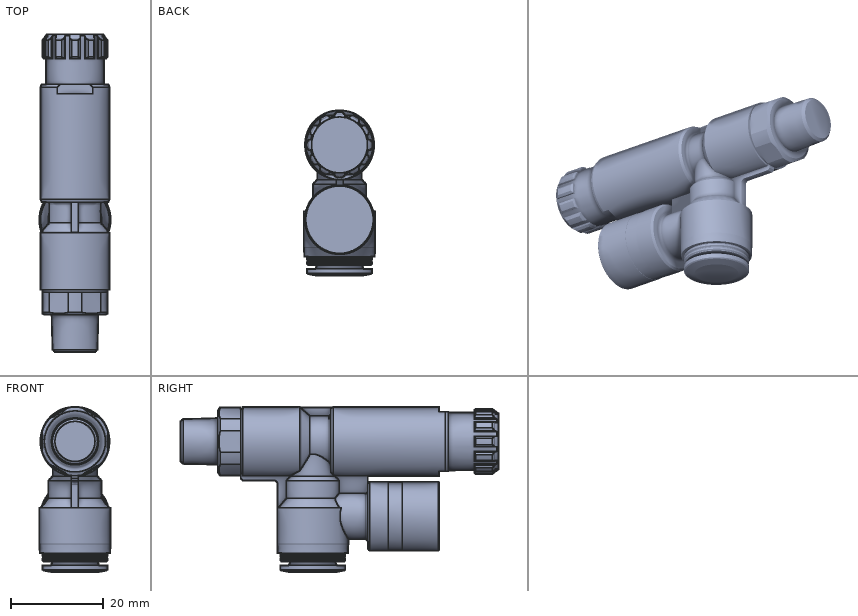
import cadquery as cq
import math

length = 68.9
knob_end = length / 2

neck_radius = 12.6 / 2
barrel_radius = 15.0 / 2
waist_radius = 5.6
shoulder_start = 10.9
shoulder_end = 36.4
barrel_chamfer = 0.6
barrel_chamfer_drop = 0.3
waist_fillet = 0.4
cone_start = 40.85
cone_end = 42.85
front_barrel_start = 43.05
cone_radius = 7.3
front_barrel_end = 55.4

flat_height = 6.5
flat_end = 12.9

knob_length = 5.3
rib_count = 12
rib_radius = 14.1 / 2
rib_base_width = 2.3
rib_top_width = 1.3
rib_side_radius = 6.75
rib_flank_height = 6.6
rib_root = 5.5
rib_end_bevel = 0.35
nose_length = 0.95
knob_face_radius = 6.05

collar_radius = 14.1 / 2
nut_start = 55.9
nut_end = 60.85
nut_across_flats = 14.1
nut_corner_radius = 14.9 / 2
nut_chamfer_length = 0.55
nut_face_radius = 6.6
thread_root_radius = 5.1
thread_tip_radius = 4.9
thread_chamfer = 0.55

silencer_z = -16.2
silencer_radius = barrel_radius
silencer_start = flat_end
silencer_end = 28.3
silencer_edge = 0.2
silencer_front_chamfer = 0.4
silencer_band_start = 20.8
silencer_band_end = 23.85
silencer_band_radius = 14.9 / 2
stub_radius = 5.0
stub_fillet = 0.55

port_station = 40.25
port_radius = 15.5 / 2
port_neck_radius = 9.7 / 2
port_collar_radius = 5.8
port_collar_cone_top = -7.5
port_collar_top = -8.5
port_collar_bottom = -12.3
port_top = -14.3
port_cone_radius = 7.45
port_taper_start = -22.2
port_bottom = -24.2
port_bottom_radius = 7.65

collet_radius = 14.1 / 2
collet_groove_radius = 6.8
collet_neck_radius = 4.9
collet_neck_foot_radius = 5.25
collet_ring_bottom = -26.05
collet_flange_top = -26.9
collet_flange_edge = -27.8
collet_flange_bottom = -28.0
collet_bottom = -28.4
collet_face_radius = 4.75
collet_upper_ring = -24.7
collet_lower_ring = -25.55
collet_ring_half_height = 0.15
collet_ring_bevel = 0.3

web_thickness = 1.5
web_end = 47.9
web_foot_bottom = -8.5
web_foot_chamfer = 0.5
web_corner_fillet = 0.8
web_top = 7.4


def y_at(station):
    """Y coordinate of a station measured from the knob end."""
    return knob_end - station


def turned_along_y(profile, axis_z=0.0):
    """Solid of revolution about a Y-parallel axis from (station, radius) points."""
    first = profile[0][0]
    last = profile[-1][0]
    points = [(0, y_at(first))]
    points += [(radius, y_at(station)) for station, radius in profile]
    points += [(0, y_at(last))]
    solid = cq.Workplane("XY").polyline(points).close().revolve(360, (0, 0), (0, 1))
    return solid.translate((0, 0, axis_z))


def fillet_ring(station, radius, size, axis_z=0.0):
    """Concave fillet around a shaft, where it leaves a face at the given station."""
    y_face = y_at(station)
    centre = (radius + size, y_face - size)
    mid = (centre[0] - size * math.sqrt(0.5), centre[1] + size * math.sqrt(0.5))
    ring = (
        cq.Workplane("XY")
        .moveTo(0, y_face)
        .lineTo(radius + size, y_face)
        .threePointArc(mid, (radius, y_face - size))
        .lineTo(0, y_face - size)
        .close()
        .revolve(360, (0, 0), (0, 1))
    )
    return ring.translate((0, 0, axis_z))


def make_barrel():
    chamfered_radius = barrel_radius - barrel_chamfer_drop
    rear = turned_along_y([
        (shoulder_start, chamfered_radius),
        (shoulder_start + barrel_chamfer, barrel_radius),
        (shoulder_end - barrel_chamfer, barrel_radius),
        (shoulder_end, chamfered_radius),
    ])
    flat_length = flat_end - shoulder_start
    between_flats = cq.Workplane("XY").box(2 * barrel_radius, flat_length, 2 * flat_height)
    flat_zone = cq.Workplane("XY").box(2 * barrel_radius, flat_length, 2 * barrel_radius)
    flat_cut = flat_zone.cut(between_flats).translate((0, y_at((shoulder_start + flat_end) / 2), 0))
    front = turned_along_y([
        (shoulder_end, waist_radius),
        (cone_start, waist_radius),
        (cone_end, cone_radius),
        (front_barrel_start, barrel_radius),
        (front_barrel_end, barrel_radius),
        (front_barrel_end, collar_radius),
        (nut_start, collar_radius),
    ])
    return rear.cut(flat_cut).union(front).union(fillet_ring(shoulder_end, waist_radius, waist_fillet))


def make_knob():
    rib = (
        cq.Workplane("XZ", origin=(0, knob_end, 0))
        .moveTo(-rib_base_width / 2, rib_root)
        .lineTo(-rib_base_width / 2, rib_flank_height)
        .lineTo(-rib_top_width / 2, rib_radius)
        .lineTo(rib_top_width / 2, rib_radius)
        .lineTo(rib_base_width / 2, rib_flank_height)
        .lineTo(rib_base_width / 2, rib_root)
        .close()
        .extrude(knob_length)
    )
    knob = turned_along_y([(0, neck_radius), (shoulder_start, neck_radius)])
    for index in range(rib_count):
        knob = knob.union(rib.rotate((0, 0, 0), (0, 1, 0), index * 360 / rib_count))
    envelope = turned_along_y([
        (0, knob_face_radius),
        (nose_length, rib_side_radius),
        (nose_length + rib_end_bevel, rib_radius),
        (knob_length - rib_end_bevel, rib_radius),
        (knob_length, rib_side_radius),
        (shoulder_start, rib_side_radius),
    ])
    return knob.intersect(envelope)


def make_nut_and_thread():
    hexagon = (
        cq.Workplane("XZ", origin=(0, y_at(nut_start), 0))
        .polygon(6, nut_across_flats, circumscribed=True)
        .extrude(nut_end - nut_start)
    )
    rounding = turned_along_y([
        (nut_start, nut_corner_radius),
        (nut_end - nut_chamfer_length, nut_corner_radius),
        (nut_end, nut_face_radius),
    ])
    thread = turned_along_y([
        (nut_start, thread_root_radius),
        (nut_end, thread_root_radius),
        (length - thread_chamfer, thread_tip_radius),
        (length, thread_tip_radius - thread_chamfer),
    ])
    return hexagon.intersect(rounding).union(thread)


def make_silencer():
    body = turned_along_y([
        (silencer_start, silencer_radius - silencer_edge),
        (silencer_start + silencer_edge, silencer_radius),
        (silencer_band_start, silencer_radius),
        (silencer_band_start, silencer_band_radius),
        (silencer_band_end, silencer_band_radius),
        (silencer_band_end, silencer_radius),
        (silencer_end - silencer_front_chamfer, silencer_radius),
        (silencer_end, silencer_radius - silencer_front_chamfer),
    ], silencer_z)
    stub = turned_along_y([(silencer_end, stub_radius), (port_station, stub_radius)], silencer_z)
    return body.union(stub).union(fillet_ring(silencer_end, stub_radius, stub_fillet, silencer_z))


def make_port():
    profile = [
        (0, 0),
        (port_neck_radius, 0),
        (port_neck_radius, port_collar_cone_top),
        (port_collar_radius, port_collar_top),
        (port_collar_radius, port_collar_bottom),
        (port_cone_radius, port_top),
        (port_radius, port_top),
        (port_radius, port_taper_start),
        (port_bottom_radius, port_bottom),
        (collet_groove_radius, port_bottom),
    ]
    for ring_z in (collet_upper_ring, collet_lower_ring):
        profile += [
            (collet_groove_radius, ring_z + collet_ring_half_height + collet_ring_bevel),
            (collet_radius, ring_z + collet_ring_half_height),
            (collet_radius, ring_z - collet_ring_half_height),
            (collet_groove_radius, ring_z - collet_ring_half_height - collet_ring_bevel),
        ]
    profile += [
        (collet_groove_radius, collet_ring_bottom),
        (collet_neck_radius, collet_ring_bottom),
        (collet_neck_foot_radius, collet_flange_top),
        (collet_radius, collet_flange_top),
        (collet_radius, collet_flange_edge),
        (collet_groove_radius, collet_flange_bottom),
        (collet_face_radius, collet_bottom),
        (0, collet_bottom),
    ]
    port = cq.Workplane("XZ").polyline(profile).close().revolve(360, (0, 0), (0, 1))
    return port.translate((0, y_at(port_station), 0))


def make_web():
    corner_y = y_at(web_end)
    foot_y = y_at(nut_start)
    corner_mid = web_corner_fillet * (1 - math.sqrt(0.5))
    lower = (
        cq.Workplane("YZ")
        .moveTo(y_at(silencer_end), 0)
        .lineTo(y_at(silencer_end), silencer_z)
        .lineTo(y_at(port_station), silencer_z)
        .lineTo(y_at(port_station), port_top)
        .lineTo(corner_y, port_top)
        .lineTo(corner_y, web_foot_bottom - web_corner_fillet)
        .threePointArc(
            (corner_y - corner_mid, web_foot_bottom - corner_mid),
            (corner_y - web_corner_fillet, web_foot_bottom),
        )
        .lineTo(foot_y + web_foot_chamfer, web_foot_bottom)
        .lineTo(foot_y, web_foot_bottom + web_foot_chamfer)
        .lineTo(foot_y, 0)
        .close()
        .extrude(web_thickness / 2, both=True)
    )
    upper_length = front_barrel_start - shoulder_end
    upper = cq.Workplane("XY").box(web_thickness, upper_length, web_top, centered=(True, True, False))
    return lower.union(upper.translate((0, y_at((shoulder_end + front_barrel_start) / 2), 0)))


result = (
    make_barrel()
    .union(make_knob())
    .union(make_nut_and_thread())
    .union(make_silencer())
    .union(make_port())
    .union(make_web())
)